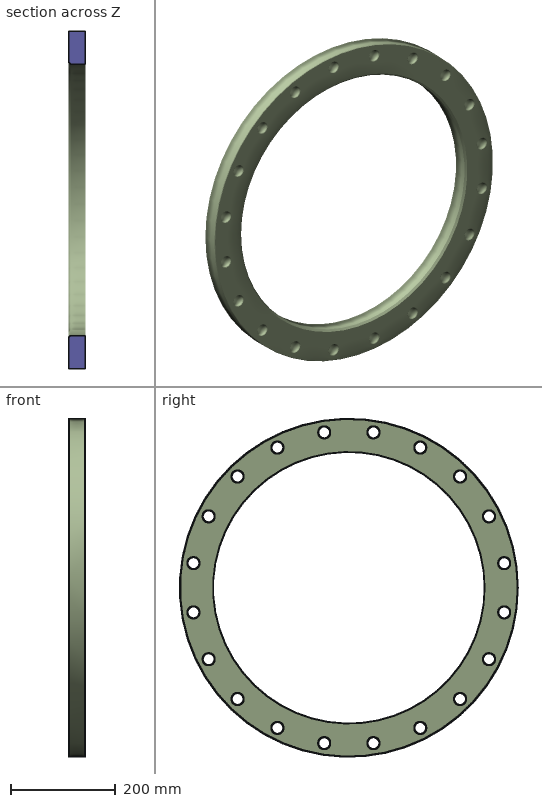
import cadquery as cq

outer_diameter = 645.0
bore_diameter = 517.0
thickness = 32.0
rim_chamfer = 0.95
bore_chamfer = 4.0

hole_count = 20
hole_diameter = 22.0
hole_chamfer = 0.95
bolt_circle_diameter = 600.0
first_hole_angle = 360 / hole_count / 2


def ring_blank():
    """Disc centred on the origin with both outer rim edges chamfered."""
    return (
        cq.Workplane("YZ")
        .workplane(offset=-thickness / 2)
        .circle(outer_diameter / 2)
        .extrude(thickness)
        .edges()
        .chamfer(rim_chamfer)
    )


def bore_cutter():
    """Through bore with a wider, chamfered mouth on the -X face."""
    bore_radius = bore_diameter / 2
    mouth_radius = bore_radius + bore_chamfer
    near_face = -thickness / 2
    far_face = thickness / 2
    profile = [
        (near_face, 0),
        (near_face, mouth_radius),
        (near_face + bore_chamfer, bore_radius),
        (far_face, bore_radius),
        (far_face, 0),
    ]
    return cq.Workplane("XY").polyline(profile).close().revolve(360, (0, 0), (1, 0))


def hole_cutters():
    """Bolt holes on the bolt circle, chamfered where they meet both faces."""
    hole_radius = hole_diameter / 2
    mouth_radius = hole_radius + hole_chamfer
    half_thickness = thickness / 2
    shoulder = half_thickness - hole_chamfer
    profile = [
        (-half_thickness, 0),
        (-half_thickness, mouth_radius),
        (-shoulder, hole_radius),
        (shoulder, hole_radius),
        (half_thickness, mouth_radius),
        (half_thickness, 0),
    ]
    hole = cq.Workplane("XY").polyline(profile).close().revolve(360, (0, 0), (1, 0)).val()
    hole = hole.translate(cq.Vector(0, bolt_circle_diameter / 2, 0))
    holes = cq.Workplane("YZ")
    for index in range(hole_count):
        angle = first_hole_angle + index * 360 / hole_count
        holes = holes.add(hole.rotate(cq.Vector(0, 0, 0), cq.Vector(1, 0, 0), angle))
    return holes.combine()


result = ring_blank().cut(bore_cutter()).cut(hole_cutters()).solids()